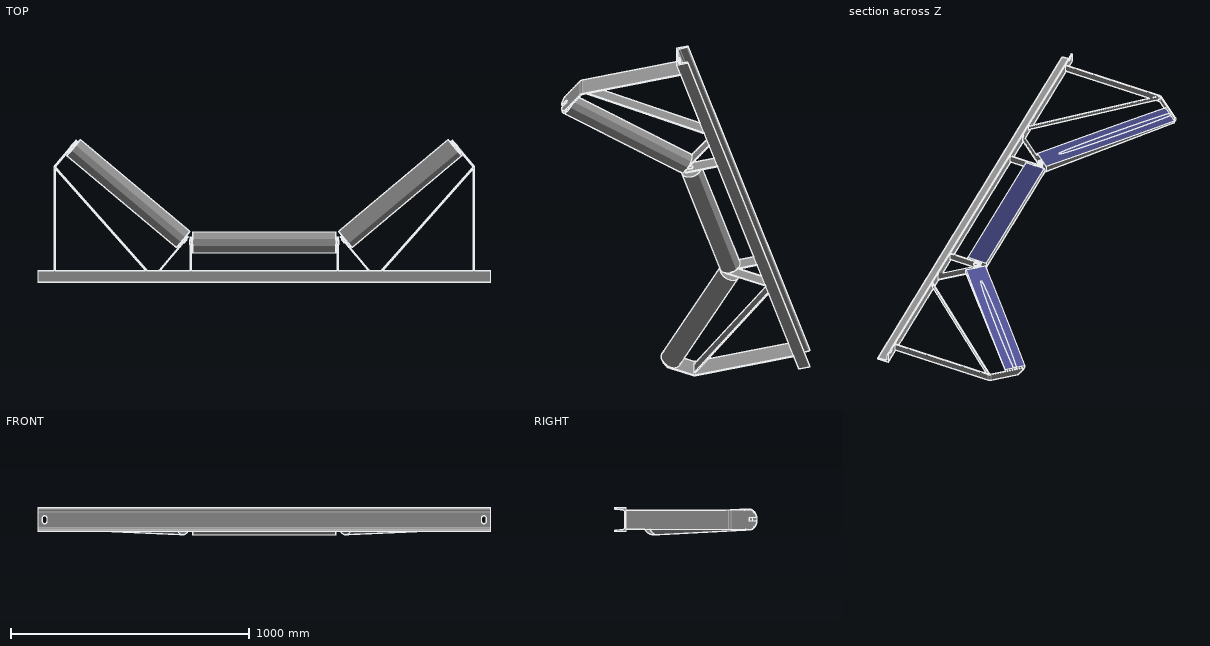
import cadquery as cq
import math

beam_length = 1900.0
beam_height = 100.0
flange_width = 50.0
web_thickness = 6.0
flange_thickness = 8.5
flange_slope = 0.08
root_radius = 8.5
tip_radius = 4.5
mount_slot_width = 19.0
mount_slot_height = 32.0
mount_slot_inset = 28.0

plate_thickness = 6.0
outer_plate_height = 80.0
outer_post_x = 880.0
bend_radius = 16.2
outer_tip_reach = 30.0
tip_chamfer = 20.0
inner_plate_height = 50.0
inner_plate_bottom = 10.0
inner_tip_reach = 23.0
inner_leg_thickness = 4.0
brace_thickness = 6.0
brace_height = 50.0
brace_foot_x = 494.0

roller_length = 600.0
roller_diameter = 90.0
shaft_diameter = 19.0
shaft_flat = 14.0
inner_end_gap = 4.8
outer_end_gap = 5.0
shaft_overhang = 1.0
trough_angle = 40.0
forward_tilt = 3.0
centre_roller_y = 167.0
roller_drop = 13.9
side_roller_x = 570.0
side_roller_y = 372.0
roller_sides = (-1, 0, 1)

beam_middle_z = beam_height / 2
web_inner_y = flange_width - web_thickness
inner_offset = roller_length / 2 + inner_end_gap + plate_thickness / 2
outer_offset = roller_length / 2 + outer_end_gap + plate_thickness / 2
shaft_length = 2 * outer_offset + plate_thickness + 2 * shaft_overhang
centre_roller_z = roller_diameter / 2 - roller_drop
side_roller_z = centre_roller_z + (side_roller_y - centre_roller_y) * math.tan(math.radians(forward_tilt))
axis_x = math.cos(math.radians(trough_angle))
axis_y = math.sin(math.radians(trough_angle))


def rod(diameter, length):
    """Cylinder along X, centred on the origin, with its seam on top."""
    start = cq.Plane(origin=(-length / 2, 0, 0), xDir=(0, 0, 1), normal=(1, 0, 0))
    return cq.Workplane(start).circle(diameter / 2).extrude(length)


def place_on_roller(shape, side):
    """Move a shape from roller axes (along X) to the left (-1), centre (0) or right (1) roller."""
    centre_y = side_roller_y if side else centre_roller_y
    centre_z = side_roller_z if side else centre_roller_z
    return (
        shape.rotate((0, 0, 0), (0, 0, 1), side * trough_angle)
        .rotate((0, 0, 0), (1, 0, 0), forward_tilt)
        .translate((side * side_roller_x, centre_y, centre_z))
    )


def make_beam():
    taper = flange_slope * flange_width / 2
    tip_z = flange_thickness - taper
    root_z = flange_thickness + taper - flange_slope * web_thickness
    section = [
        (0, 0),
        (flange_width, 0),
        (flange_width, beam_height),
        (0, beam_height),
        (0, beam_height - tip_z),
        (web_inner_y, beam_height - root_z),
        (web_inner_y, root_z),
        (0, tip_z),
    ]
    start = cq.Workplane("YZ", origin=(-beam_length / 2, 0, 0))
    beam = start.polyline(section).close().extrude(beam_length)
    for y, z, radius in ((web_inner_y, root_z, root_radius), (0, tip_z, tip_radius)):
        for corner_z in (z, beam_height - z):
            corner = cq.selectors.NearestToPointSelector((0, y, corner_z))
            beam = beam.edges("|X").edges(corner).fillet(radius)
    slot_x = beam_length / 2 - mount_slot_inset
    slots = (
        cq.Workplane("XZ", origin=(0, 0, beam_middle_z))
        .pushPoints([(-slot_x, 0), (slot_x, 0)])
        .slot2D(mount_slot_height, mount_slot_width, 90)
        .extrude(-flange_width)
    )
    return beam.cut(slots)


def flat_bar(start, end, thickness, height, middle_z):
    """Upright flat bar between two points in plan."""
    run_x = end[0] - start[0]
    run_y = end[1] - start[1]
    return (
        cq.Workplane("XY")
        .box(math.hypot(run_x, run_y), thickness, height, centered=(False, True, True))
        .rotate((0, 0, 0), (0, 0, 1), math.degrees(math.atan2(run_y, run_x)))
        .translate((start[0], start[1], middle_z))
    )


def point_on_end_plate(offset, reach):
    """Plan point square to the right roller: offset along its axis, reach towards the plate tip."""
    return (
        side_roller_x + offset * axis_x - reach * axis_y,
        side_roller_y + offset * axis_y + reach * axis_x,
    )


def make_outer_plate():
    """Post that bends over to lie square to the outer end of the right roller.

    Returns the plate and the plan point where its two straight runs would meet.
    """
    drop_to_post = (outer_post_x - point_on_end_plate(outer_offset, 0)[0]) / axis_y
    corner_y = point_on_end_plate(outer_offset, -drop_to_post)[1]
    setback = bend_radius * math.tan(math.radians(trough_angle / 2))
    tip = point_on_end_plate(outer_offset, outer_tip_reach)
    path = (
        cq.Workplane("XY", origin=(0, 0, beam_middle_z))
        .moveTo(outer_post_x, flange_width)
        .lineTo(outer_post_x, corner_y - setback)
        .tangentArcPoint((outer_post_x - setback * axis_y, corner_y + setback * axis_x), relative=False)
        .lineTo(*tip)
    )
    plate = (
        cq.Workplane("XZ", origin=(outer_post_x, flange_width, beam_middle_z))
        .rect(plate_thickness, outer_plate_height)
        .sweep(path)
    )
    tip_face = cq.selectors.NearestToPointSelector((tip[0], tip[1], beam_middle_z))
    return plate.faces(tip_face).edges("#Z").chamfer(tip_chamfer), (outer_post_x, corner_y)


def make_supports():
    """Flat bars that carry the right half of the roller set."""
    outer_plate, brace_top = make_outer_plate()
    inner_z = inner_plate_bottom + inner_plate_height / 2
    post_foot = (inner_offset, flange_width)
    post_tip = (inner_offset, centre_roller_y + inner_tip_reach)
    leg_drop = (point_on_end_plate(-inner_offset, 0)[1] - flange_width) / axis_x
    leg_foot = point_on_end_plate(-inner_offset, -leg_drop)
    leg_tip = point_on_end_plate(-inner_offset, inner_tip_reach)
    brace_foot = (brace_foot_x, flange_width)
    return [
        outer_plate,
        flat_bar(brace_foot, brace_top, brace_thickness, brace_height, beam_middle_z),
        flat_bar(post_foot, post_tip, plate_thickness, inner_plate_height, inner_z),
        flat_bar(leg_foot, leg_tip, inner_leg_thickness, inner_plate_height, inner_z),
    ]


def flatted_rod():
    """Shaft-length rod with flats above and below."""
    band = cq.Workplane("XY").box(shaft_length, shaft_diameter, shaft_flat)
    return rod(shaft_diameter, shaft_length).intersect(band)


def make_shaft_slots():
    """Cutter for slots in a roller's two end plates, open towards the plate tips."""
    mouth = cq.Workplane("XY").box(
        shaft_length, roller_diameter, shaft_flat, centered=(True, False, True)
    )
    return flatted_rod().union(mouth)


def make_frame():
    frame = make_beam()
    for support in make_supports():
        frame = frame.union(support).union(support.mirror("YZ"))
    for side in roller_sides:
        frame = frame.cut(place_on_roller(make_shaft_slots(), side))
    return frame


def make_shaft():
    """Round inside the tube, flatted where the ends sit in the plates."""
    return rod(shaft_diameter, roller_length).union(flatted_rod())


def make_tube():
    return rod(roller_diameter, roller_length).cut(rod(shaft_diameter, roller_length))


frame = make_frame()
tubes = [place_on_roller(make_tube(), side) for side in roller_sides]
shafts = [place_on_roller(make_shaft(), side) for side in roller_sides]

result = cq.Compound.makeCompound([frame.val(), *[body.val() for body in tubes + shafts]])